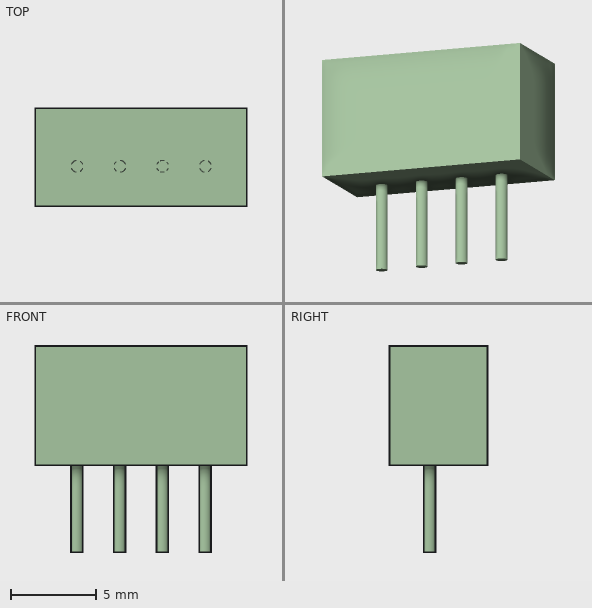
import cadquery as cq

housing_length = 12.4
housing_width = 5.75
housing_height = 7.0

overall_height = 12.1
pin_length = overall_height - housing_height
pin_diameter = 0.7
pin_count = 4
pin_pitch = 2.5
pin_row_y = -0.52


def make_housing():
    """Plain block centred on the Z axis, with its underside at Z = 0."""
    return cq.Workplane("XY").box(
        housing_length, housing_width, housing_height, centered=(True, True, False)
    )


def make_pin(x):
    """Round pin hanging from the housing's underside."""
    return cq.Workplane("XY").center(x, pin_row_y).circle(pin_diameter / 2).extrude(-pin_length)


housing = make_housing()

first_pin_x = -pin_pitch * (pin_count - 1) / 2
pins = [make_pin(first_pin_x + index * pin_pitch) for index in range(pin_count)]

result = cq.Compound.makeCompound([housing.val(), *[pin.val() for pin in pins]])